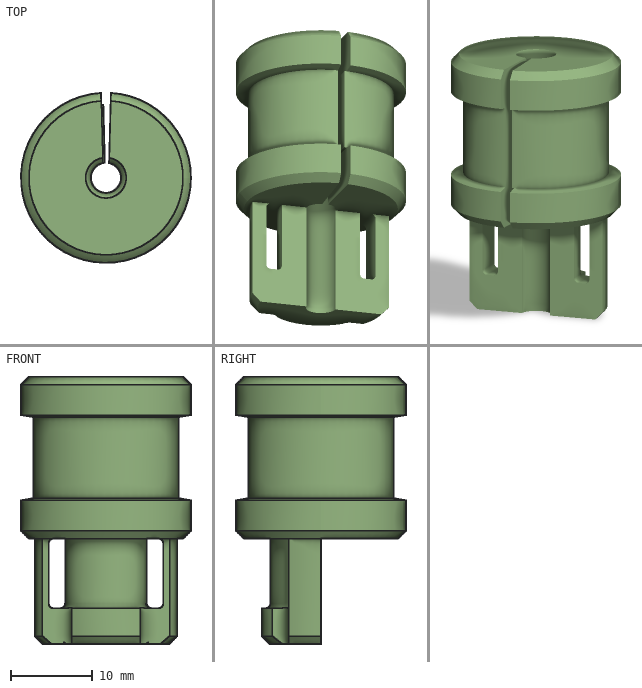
import cadquery as cq
import math

total_height = 33.0
head_bottom = 13.0
head_middle = (head_bottom + total_height) / 2

flange_radius = 10.5
neck_radius = 9.0
edge_chamfer = 1.0
neck_half_height = 5.0
groove_half_height = 5.26

bore_radius = 1.85
countersink_radius = 2.5
countersink_depth = 1.0

slot_half_width_at_rim = 0.6
slot_half_width_at_bore = 0.37
neck_slot_step = 0.25

leg_radius = 8.8
leg_front = -4.0
column_radius = 5.05
column_center_y = -1.22
column_cove = 0.55
window_half_width = 7.05
window_bottom = 4.45
window_fillet = 0.55
lobe_radius = 7.33
lobe_half_width = 4.2
lobe_fillet = 1.0

arc_middle_offset = 1 - math.sqrt(0.5)


def cylinder(radius, bottom, top):
    return cq.Workplane("XY").workplane(offset=bottom).circle(radius).extrude(top - bottom)


def block(x_min, x_max, y_min, y_max, z_min, z_max):
    size = (x_max - x_min, y_max - y_min, z_max - z_min)
    return cq.Workplane("XY").box(*size, centered=False).translate((x_min, y_min, z_min))


def make_head():
    """Solid of revolution with chamfered rims and a conical-sided groove at the neck."""
    profile = [
        (0, head_bottom),
        (flange_radius - edge_chamfer, head_bottom),
        (flange_radius, head_bottom + edge_chamfer),
        (flange_radius, head_middle - groove_half_height),
        (neck_radius, head_middle - neck_half_height),
        (neck_radius, head_middle + neck_half_height),
        (flange_radius, head_middle + groove_half_height),
        (flange_radius, total_height - edge_chamfer),
        (flange_radius - edge_chamfer, total_height),
        (0, total_height),
    ]
    return cq.Workplane("XZ").polyline(profile).close().revolve(360, (0, 0, 0), (0, 1, 0))


def slot_cutter(left_step, bottom, top):
    """Wedge widening outward from the axis; left_step moves only its -X side."""
    taper = (slot_half_width_at_rim - slot_half_width_at_bore) / (flange_radius - bore_radius)
    half_width_at_axis = slot_half_width_at_bore - taper * bore_radius
    y_end = flange_radius + edge_chamfer
    half_width_at_end = half_width_at_axis + taper * y_end
    outline = [
        (left_step - half_width_at_axis, 0),
        (half_width_at_axis, 0),
        (half_width_at_end, y_end),
        (left_step - half_width_at_end, y_end),
    ]
    return cq.Workplane("XY").workplane(offset=bottom).polyline(outline).close().extrude(top - bottom)


def make_slot():
    neck_bottom = head_middle - neck_half_height
    neck_top = head_middle + neck_half_height
    lower = slot_cutter(0, head_bottom, neck_bottom)
    neck = slot_cutter(neck_slot_step, neck_bottom, neck_top)
    upper = slot_cutter(0, neck_top, total_height)
    return lower.union(neck).union(upper)


def make_leg_solid():
    """Half cylinder with flat fronts, a rounded lobe between them and a chamfered foot."""
    flat_part = cylinder(leg_radius, 0, head_bottom).faces("<Z").chamfer(edge_chamfer)
    flat_part = flat_part.intersect(
        block(-leg_radius, leg_radius, leg_front, 0, 0, head_bottom))

    root_half_width = lobe_half_width + lobe_fillet
    fillet_end = leg_front - lobe_fillet
    lobe_corner = -math.sqrt(lobe_radius**2 - lobe_half_width**2)
    arc_offset = lobe_fillet * arc_middle_offset
    lobe = (
        cq.Workplane("XY")
        .moveTo(-root_half_width, 0)
        .lineTo(-root_half_width, leg_front)
        .threePointArc(
            (-lobe_half_width - arc_offset, leg_front - arc_offset), (-lobe_half_width, fillet_end))
        .lineTo(-lobe_half_width, lobe_corner)
        .threePointArc((0, -lobe_radius), (lobe_half_width, lobe_corner))
        .lineTo(lobe_half_width, fillet_end)
        .threePointArc(
            (lobe_half_width + arc_offset, leg_front - arc_offset), (root_half_width, leg_front))
        .lineTo(root_half_width, 0)
        .close()
        .extrude(head_bottom)
    )
    lobe_limit = cylinder(lobe_radius, 0, head_bottom).faces("<Z").chamfer(edge_chamfer)
    return flat_part.union(lobe.intersect(lobe_limit))


def make_window():
    """Opening from front to back that leaves the two outer walls and the foot of the leg."""
    opening = block(-window_half_width, window_half_width, -leg_radius, leg_radius,
                    window_bottom, head_bottom)
    return opening.edges("|Y").fillet(window_fillet)


def column_half_profile():
    """Section from the column's own axis out to +X, drawn in the XZ plane."""
    cove_radius = column_radius + column_cove
    cove_top = window_bottom + column_cove
    arc_offset = column_cove * arc_middle_offset
    return (
        cq.Workplane("XZ")
        .moveTo(0, window_bottom)
        .lineTo(cove_radius, window_bottom)
        .threePointArc(
            (column_radius + arc_offset, window_bottom + arc_offset), (column_radius, cove_top))
        .lineTo(column_radius, head_bottom)
        .lineTo(0, head_bottom)
        .close()
    )


def make_column():
    """Column in the window with a round front, straight sides and a cove around its base."""
    round_front = column_half_profile().revolve(360, (0, 0, 0), (0, 1, 0))
    half_back = column_half_profile().extrude(column_center_y)
    straight_back = half_back.union(half_back.mirror("YZ"))
    return round_front.union(straight_back).translate((0, column_center_y, 0))


def make_bore():
    cone_bottom = total_height - countersink_depth
    profile = [
        (0, 0),
        (bore_radius, 0),
        (bore_radius, cone_bottom),
        (countersink_radius, total_height),
        (0, total_height),
    ]
    return cq.Workplane("XZ").polyline(profile).close().revolve(360, (0, 0, 0), (0, 1, 0))


leg_solid = make_leg_solid()
leg = leg_solid.cut(make_window()).union(make_column().intersect(leg_solid))
result = make_head().union(leg).cut(make_bore()).cut(make_slot())